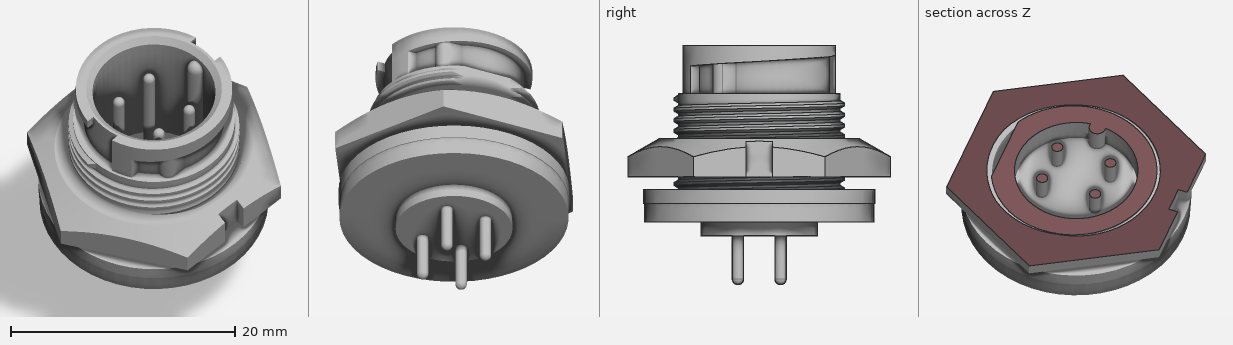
import cadquery as cq
import math

RIM_TOP = 12.85
SHOULDER_TOP = 8.56
FLANGE_STEP = -1.27
FLANGE_BOTTOM = -2.9
BOSS_BOTTOM = -4.13
PIN_BOTTOM = -8.5
SOCKET_FLOOR = 0.0

FLANGE_RADIUS = 20.62 / 2
FLANGE_LOWER_RADIUS = 10.23
BOSS_RADIUS = 5.2
SOCKET_RADIUS = 5.5
LEAD_IN_RADIUS = 6.05
LEAD_IN_DEPTH = 0.5

THREAD_ROOT_RADIUS = 7.23
THREAD_CREST_RADIUS = 7.62
THREAD_BASE_WIDTH = 0.73
THREAD_CREST_WIDTH = 0.23
THREAD_TURNS = 9.5
THREAD_START = -0.95
THREAD_END = 8.07
THREAD_START_ANGLE = 90.0
THREAD_RUNOUT_ANGLE = 5.5
THREAD_PITCH = (THREAD_END - THREAD_START) / THREAD_TURNS
THREAD_FLAT_X = -6.85
EMBED = 0.02

NECK_RADIUS = 6.29
RIM_RADIUS = 7.0
SLOT_HALF_WIDTH = 1.52
STOP_X = 3.35
RAMP_DEPTHS_AT_STOP = (1.7, 1.83)
RAMP_DEPTH_AT_SLOT = 0.91
TRACK_OVERRUN = 8.0
TRACK_CLEARANCE = 0.23
DETENT_X = 5.94
DETENT_Y = 4.13
DETENT_CORNER_RADIUS = 0.87

PIN_RADIUS = 0.52
PIN_X = 2.53
PIN_Y = 1.9
PIN_TOP = RIM_TOP - 2.0
KEY_RADIUS = 0.75
KEY_Y = 5.28
KEY_TOP = RIM_TOP - 0.95

NUT_ACROSS_CORNERS = 23.45
NUT_TURN = 30.0
NUT_BOTTOM = 1.13
NUT_TOP = 4.55
NUT_FACE_RADIUS = 8.9
NUT_CHAMFER_ANGLE = 30.0
NUT_BORE_RADIUS = 7.48
NUT_GROOVE_RADIUS = 7.95
NUT_GROOVE_MOUTH_WIDTH = 0.45
NUT_GROOVE_BOTTOM_WIDTH = 0.16
NUT_SLOT_HALF_WIDTH = 1.17
NUT_SLOT_X = 9.31


def cylinder(radius, bottom, top):
    return cq.Workplane("XY").workplane(offset=bottom).circle(radius).extrude(top - bottom)


def block(x_min, x_max, y_min, y_max, bottom, top):
    size = (x_max - x_min, y_max - y_min, top - bottom)
    return cq.Workplane("XY").box(*size, centered=False).translate((x_min, y_min, bottom))


def opposite(shape):
    """The shape turned half a turn around the connector axis."""
    return shape.rotate((0, 0, 0), (0, 0, 1), 180)


def helical_bar(inner, outer, inner_width, outer_width, pitch, turns, start, angle, runout=0.0):
    """A right-handed helical bar of trapezoid section, centred on height `start` at `angle`."""

    def corner_helix(radius, offset, length):
        return cq.Wire.makeHelix(pitch, pitch * length, radius).Edges()[0].translate(cq.Vector(0, 0, offset))

    outer_turns = turns - runout / 360
    edges = [
        corner_helix(inner, -inner_width / 2, turns),
        corner_helix(outer, -outer_width / 2, outer_turns),
        corner_helix(outer, outer_width / 2, outer_turns),
        corner_helix(inner, inner_width / 2, turns),
    ]
    faces = [cq.Face.makeRuledSurface(edges[i], edges[(i + 1) % 4]) for i in range(4)]
    for end in (0, 1):
        corners = [edge.positionAt(end) for edge in edges]
        faces.append(cq.Face.makeFromWires(cq.Wire.makePolygon(corners, close=True)))
    solid = cq.Solid.makeSolid(cq.Shell.makeShell(faces)).fix()
    return cq.Workplane(solid).rotate((0, 0, 0), (0, 0, 1), angle).translate((0, 0, start))


def contact_pin(x, y):
    """A straight pin with both ends hemispherical."""
    pin = cylinder(PIN_RADIUS, PIN_BOTTOM + PIN_RADIUS, PIN_TOP - PIN_RADIUS)
    for z in (PIN_BOTTOM + PIN_RADIUS, PIN_TOP - PIN_RADIUS):
        pin = pin.union(cq.Workplane("XY").sphere(PIN_RADIUS).translate((0, 0, z)))
    return pin.translate((x, y, 0))


def key_pin():
    """The thick keying pin, half sunk in the socket wall, with a hemispherical top."""
    dome_height = KEY_TOP - KEY_RADIUS
    key = cylinder(KEY_RADIUS, SOCKET_FLOOR, dome_height)
    key = key.union(cq.Workplane("XY").sphere(KEY_RADIUS).translate((0, 0, dome_height)))
    return key.translate((0, KEY_Y, 0))


def threaded_rod(root_radius, crest_radius, base_width, crest_width, bottom, top):
    """A plain core between `bottom` and `top` with the common helix of the body and the nut on it."""
    ridge = helical_bar(
        root_radius - EMBED, crest_radius, base_width, crest_width,
        THREAD_PITCH, THREAD_TURNS, THREAD_START, THREAD_START_ANGLE, THREAD_RUNOUT_ANGLE,
    )
    return cylinder(root_radius, bottom, top).union(ridge)


def make_threaded_barrel():
    barrel = threaded_rod(
        THREAD_ROOT_RADIUS, THREAD_CREST_RADIUS, THREAD_BASE_WIDTH, THREAD_CREST_WIDTH,
        FLANGE_STEP, SHOULDER_TOP,
    )
    side = 2 * THREAD_CREST_RADIUS
    return barrel.cut(block(-side, THREAD_FLAT_X, -side, side, 0, SHOULDER_TOP))


def bayonet_track(stop_depth, inner):
    """Space under one ramp, which climbs from the stop block at +Y to the entry slot at -Y."""
    stop_angle = 180 - math.degrees(math.acos(STOP_X / RIM_RADIUS))
    slot_angle = 180 + math.degrees(math.acos(SLOT_HALF_WIDTH / RIM_RADIUS))
    pitch = (stop_depth - RAMP_DEPTH_AT_SLOT) * 360 / (slot_angle - stop_angle)
    height = RIM_TOP - SHOULDER_TOP
    start = RIM_TOP - stop_depth - pitch * TRACK_OVERRUN / 360 - height / 2
    turns = (slot_angle - stop_angle + 2 * TRACK_OVERRUN) / 360
    return helical_bar(
        inner, RIM_RADIUS + TRACK_CLEARANCE, height, height, pitch, turns, start, stop_angle - TRACK_OVERRUN)


def make_bayonet_rim():
    """Rim with two entry slots, two ramped tracks, their stop blocks and detents."""
    ring_inner = (NECK_RADIUS + SOCKET_RADIUS) / 2
    ring = cylinder(RIM_RADIUS, SHOULDER_TOP, RIM_TOP).cut(cylinder(ring_inner, SHOULDER_TOP, RIM_TOP))

    slots = block(-SLOT_HALF_WIDTH, SLOT_HALF_WIDTH, -RIM_RADIUS, RIM_RADIUS, SHOULDER_TOP, RIM_TOP)
    stop = ring.intersect(block(-STOP_X, -SLOT_HALF_WIDTH, 0, RIM_RADIUS, SHOULDER_TOP, RIM_TOP))
    detent = (
        block(-DETENT_X, 0, 0, DETENT_Y, SHOULDER_TOP, RIM_TOP - RAMP_DEPTH_AT_SLOT)
        .edges("|Z and <X and >Y").fillet(DETENT_CORNER_RADIUS)
    )
    track_inner = ring_inner - TRACK_CLEARANCE
    left_track, right_track = [bayonet_track(depth, track_inner) for depth in RAMP_DEPTHS_AT_STOP]
    rim = ring.cut(left_track).cut(opposite(right_track)).cut(slots)
    rim = rim.union(cylinder(NECK_RADIUS, SHOULDER_TOP, RIM_TOP))
    for part in (stop, detent):
        rim = rim.union(part).union(opposite(part))
    return rim


def make_socket():
    """Space inside the barrel: a plain bore with a conical lead-in."""
    lead_in = cq.Workplane("XZ").polyline([
        (0, RIM_TOP),
        (LEAD_IN_RADIUS, RIM_TOP),
        (SOCKET_RADIUS, RIM_TOP - LEAD_IN_DEPTH),
        (SOCKET_RADIUS, SOCKET_FLOOR),
        (0, SOCKET_FLOOR),
    ]).close()
    return lead_in.revolve(360, (0, 0, 0), (0, 1, 0))


def make_connector():
    base = cylinder(FLANGE_RADIUS, FLANGE_STEP, 0)
    base = base.union(cylinder(FLANGE_LOWER_RADIUS, FLANGE_BOTTOM, FLANGE_STEP))
    base = base.union(cylinder(BOSS_RADIUS, BOSS_BOTTOM, FLANGE_BOTTOM))
    for x in (-PIN_X, PIN_X):
        for y in (-PIN_Y, PIN_Y):
            base = base.union(contact_pin(x, y))
    shell = make_threaded_barrel().union(make_bayonet_rim()).cut(make_socket())
    shell = shell.union(key_pin())
    return shell.union(base)


def make_nut():
    height = NUT_TOP - NUT_BOTTOM
    hexagon = (
        cq.Workplane("XY").workplane(offset=NUT_BOTTOM)
        .polygon(6, NUT_ACROSS_CORNERS).extrude(height)
        .rotate((0, 0, 0), (0, 0, 1), NUT_TURN)
    )
    slope = math.tan(math.radians(NUT_CHAMFER_ANGLE))
    cone_radius = NUT_FACE_RADIUS + height / slope
    cone = cq.Workplane(cq.Solid.makeCone(cone_radius, NUT_FACE_RADIUS, height, cq.Vector(0, 0, NUT_BOTTOM)))
    nut = hexagon.intersect(cone)
    threaded_hole = threaded_rod(
        NUT_BORE_RADIUS, NUT_GROOVE_RADIUS, NUT_GROOVE_MOUTH_WIDTH, NUT_GROOVE_BOTTOM_WIDTH,
        FLANGE_STEP, SHOULDER_TOP,
    )
    nut = nut.cut(threaded_hole)
    slot = block(
        NUT_SLOT_X, NUT_ACROSS_CORNERS / 2, -NUT_SLOT_HALF_WIDTH, NUT_SLOT_HALF_WIDTH, NUT_BOTTOM, NUT_TOP)
    return nut.cut(slot)


connector = make_connector()
nut = make_nut()
result = cq.Compound.makeCompound([connector.solids().val(), nut.solids().val()])